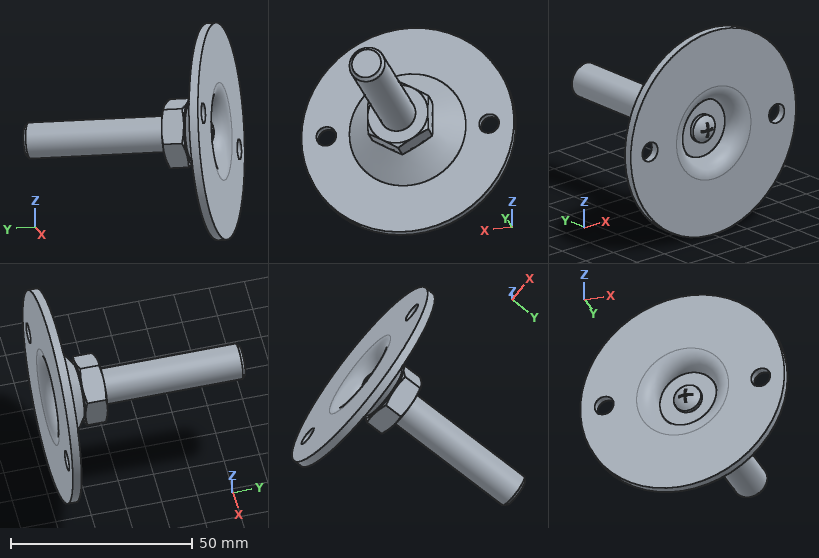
import cadquery as cq
import math

plate_diameter = 60
plate_thickness = 2.5
hole_diameter = 5.5
hole_offset = 23.0

hub_base_radius = 16.45
hub_top_radius = 7.8
hub_top = 8.5

recess_floor_radius = 8.45
flare_radius = 5.05
recess_depth = flare_radius

head_radius = 8.0 / 2
head_rim_height = 1.1
dome_height = 1.8
slot_length = 4.0
slot_width = 0.5
slot_depth = 0.95

nut_across_flats = 17.0
nut_start = 8.75
nut_end = 15
nut_chamfer_angle = 20
stud_radius = 10.0 / 2
stud_end = 55.0
stud_chamfer = 0.9


def cylinder_y(radius, start, end):
    """Solid cylinder on the Y axis between two Y positions."""
    return cq.Workplane("XZ", origin=(0, start, 0)).circle(radius).extrude(start - end)


def revolve_y(profile):
    """Turn a closed XY profile around the Y axis."""
    return profile.close().revolve(360, (0, 0, 0), (0, 1, 0))


def make_base():
    plate = cylinder_y(plate_diameter / 2, 0, plate_thickness)
    hub = revolve_y(
        cq.Workplane("XY")
        .lineTo(hub_base_radius, 0)
        .lineTo(hub_base_radius, plate_thickness)
        .lineTo(hub_top_radius, hub_top)
        .lineTo(hub_top_radius, nut_start)
        .lineTo(0, nut_start)
    )
    diagonal = flare_radius * math.sqrt(0.5)
    recess_mouth_radius = recess_floor_radius + flare_radius
    recess = revolve_y(
        cq.Workplane("XY")
        .lineTo(recess_mouth_radius, 0)
        .threePointArc(
            (recess_mouth_radius - diagonal, flare_radius - diagonal),
            (recess_floor_radius, recess_depth),
        )
        .lineTo(0, recess_depth)
    )
    base = plate.union(hub).cut(recess)
    for side in (-1, 1):
        hole = cylinder_y(hole_diameter / 2, 0, plate_thickness)
        base = base.cut(hole.translate((side * hole_offset, 0, 0)))
    return base


def make_screw_head():
    rim = recess_depth - head_rim_height
    crown = rim - dome_height
    sphere_radius = (head_radius**2 + dome_height**2) / (2 * dome_height)
    arc_x = head_radius / 2
    arc_y = crown + sphere_radius - math.sqrt(sphere_radius**2 - arc_x**2)
    head = revolve_y(
        cq.Workplane("XY")
        .moveTo(0, recess_depth)
        .lineTo(head_radius, recess_depth)
        .lineTo(head_radius, rim)
        .threePointArc((arc_x, arc_y), (0, crown))
    )
    slot = (
        cq.Workplane("XZ", origin=(0, crown, 0))
        .rect(slot_length, slot_width)
        .extrude(-slot_depth)
    )
    for angle in (0, 90):
        head = head.cut(slot.rotate((0, 0, 0), (0, 1, 0), angle))
    return head


def make_nut():
    corner_radius = nut_across_flats / 2 / math.cos(math.radians(30))
    nut = (
        cq.Workplane("XZ", origin=(0, nut_start, 0))
        .polygon(6, 2 * corner_radius)
        .extrude(nut_start - nut_end)
        .rotate((0, 0, 0), (0, 1, 0), 30)
    )
    face_radius = nut_across_flats / 2
    chamfer_height = (corner_radius - face_radius) * math.tan(math.radians(nut_chamfer_angle))
    envelope = revolve_y(
        cq.Workplane("XY")
        .moveTo(0, nut_start)
        .lineTo(face_radius, nut_start)
        .lineTo(corner_radius, nut_start + chamfer_height)
        .lineTo(corner_radius, nut_end - chamfer_height)
        .lineTo(face_radius, nut_end)
        .lineTo(0, nut_end)
    )
    return nut.intersect(envelope)


def make_stud():
    return cylinder_y(stud_radius, nut_start, stud_end).faces(">Y").chamfer(stud_chamfer)


result = make_base().union(make_screw_head()).union(make_nut()).union(make_stud())